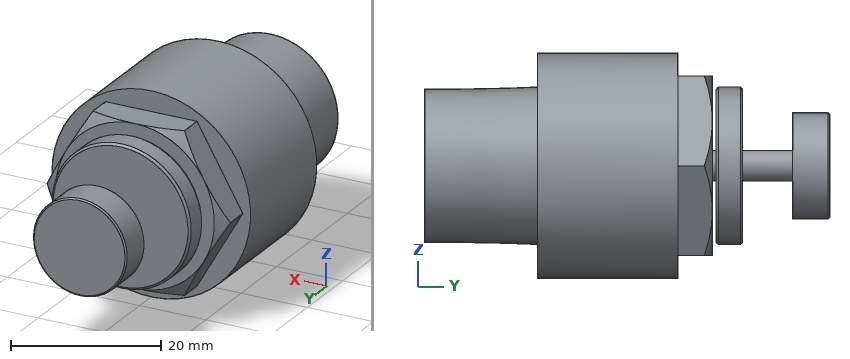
import cadquery as cq
import math

plug_end = 15.0
body_end = 33.75
nut_end = 38.35
disc_start = 38.8
disc_end = 42.4
knob_start = 49.05
knob_end = 54.0

plug_tip_diameter = 20.4
plug_base_diameter = 21.0
body_diameter = 30.0
stem_diameter = 4.1
disc_diameter = 21.0
knob_diameter = 14.15

nut_across_flats = 24.0
nut_chamfer_angle = 30.0

disc_chamfer = 0.3
knob_chamfer = 0.2


def frustum(start, end, start_diameter, end_diameter):
    """Solid of revolution about Y with straight sides."""
    outline = [(0, start), (start_diameter / 2, start), (end_diameter / 2, end), (0, end)]
    return cq.Workplane("XY").polyline(outline).close().revolve(360, (0, 0, 0), (0, 1, 0))


def cylinder(start, end, diameter):
    return frustum(start, end, diameter, diameter)


def hex_nut():
    """Hexagon with corners on X, its far corners trimmed by a cone."""
    across_corners = nut_across_flats / math.cos(math.radians(30))
    length = nut_end - body_end
    hexagon = (
        cq.Workplane("XZ", origin=(0, body_end, 0))
        .polygon(6, across_corners)
        .extrude(-length)
    )
    cone_growth = 2 * length / math.tan(math.radians(nut_chamfer_angle))
    cone = frustum(body_end, nut_end, nut_across_flats + cone_growth, nut_across_flats)
    return hexagon.intersect(cone)


plug = frustum(0, plug_end, plug_tip_diameter, plug_base_diameter)
body = cylinder(plug_end, body_end, body_diameter)
stem = cylinder(body_end, knob_end, stem_diameter)
disc = cylinder(disc_start, disc_end, disc_diameter).edges().chamfer(disc_chamfer)
knob = cylinder(knob_start, knob_end, knob_diameter).faces(">Y").edges().chamfer(knob_chamfer)

result = plug.union(body).union(hex_nut()).union(stem).union(disc).union(knob)